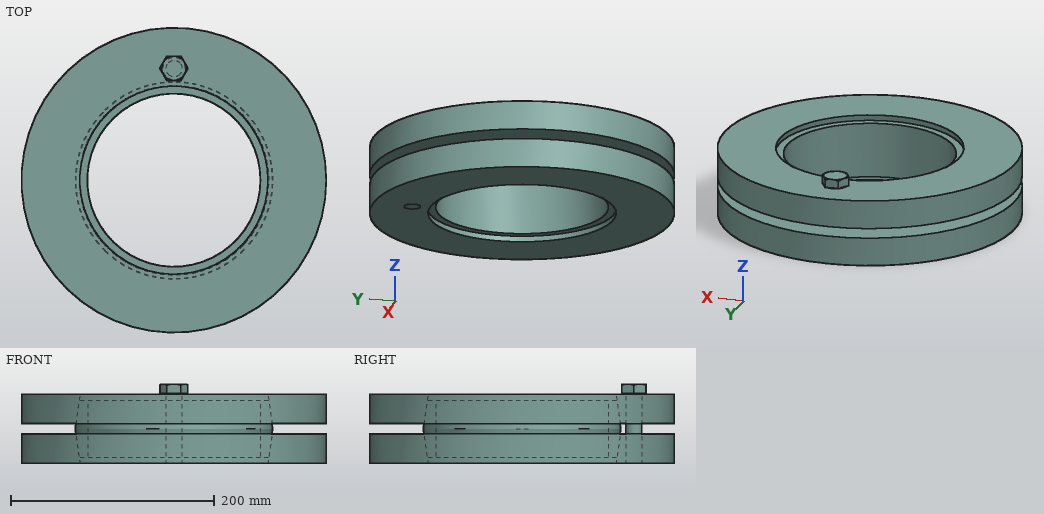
import cadquery as cq
import math


plate_diameter = 300.0
plate_thickness = 29.0
plate_gap = 10.0
bore_mouth_diameter = 185.0
stack_height = 2 * plate_thickness + plate_gap
mid_height = stack_height / 2

taper_angle = 8.0

ring_bore_diameter = 170.0
ring_recess = 6.0

shank_diameter = 16.0
head_across_flats = 24.0
head_height = 10.0
washer_face_diameter = 22.0
washer_face_height = 0.8
head_top_diameter = head_across_flats
head_chamfer_angle = 30.0
bolt_circle_radius = 110.0


def taper_radius(distance_from_middle):
    """Radius of the shared taper at a distance above or below mid height."""
    distance_from_mouth = mid_height - distance_from_middle
    return bore_mouth_diameter / 2 + distance_from_mouth * math.tan(math.radians(taper_angle))


def revolve_profile(points):
    """Solid of revolution about Z from (radius, height) points."""
    return cq.Workplane("XZ").polyline(points).close().revolve(360, (0, 0, 0), (0, 1, 0))


def make_inner_ring():
    bore_radius = ring_bore_diameter / 2
    end_radius = taper_radius(mid_height - ring_recess)
    top = stack_height - ring_recess
    return revolve_profile([
        (bore_radius, ring_recess),
        (end_radius, ring_recess),
        (taper_radius(0), mid_height),
        (end_radius, top),
        (bore_radius, top),
    ])


def make_plate(inner_face, outer_face):
    """Plate between two heights, bored to the taper and drilled for the bolt."""
    plate_radius = plate_diameter / 2
    plate = revolve_profile([
        (taper_radius(plate_gap / 2), inner_face),
        (plate_radius, inner_face),
        (plate_radius, outer_face),
        (bore_mouth_diameter / 2, outer_face),
    ])
    bolt_hole = (
        cq.Workplane("XY")
        .center(0, bolt_circle_radius)
        .circle(shank_diameter / 2)
        .extrude(stack_height)
    )
    return plate.cut(bolt_hole)


def make_bolt():
    across_corners = head_across_flats / math.cos(math.radians(30))
    corner_radius = across_corners / 2
    top_radius = head_top_diameter / 2
    chamfer_height = (corner_radius - top_radius) * math.tan(math.radians(head_chamfer_angle))

    head = (
        cq.Workplane("XY", origin=(0, 0, washer_face_height))
        .polygon(6, across_corners)
        .extrude(head_height - washer_face_height)
    )
    washer_face = cq.Workplane("XY").circle(washer_face_diameter / 2).extrude(washer_face_height)
    chamfer_envelope = revolve_profile([
        (0, 0),
        (corner_radius, 0),
        (corner_radius, head_height - chamfer_height),
        (top_radius, head_height),
        (0, head_height),
    ])
    head = head.intersect(chamfer_envelope)
    shank = cq.Workplane("XY").circle(shank_diameter / 2).extrude(-stack_height)
    return head.union(washer_face).union(shank).translate((0, bolt_circle_radius, stack_height))


inner_ring = make_inner_ring()
lower_plate = make_plate(plate_thickness, 0)
upper_plate = make_plate(plate_thickness + plate_gap, stack_height)
bolt = make_bolt()

result = cq.Compound.makeCompound([
    inner_ring.val(),
    lower_plate.val(),
    upper_plate.val(),
    bolt.val(),
])